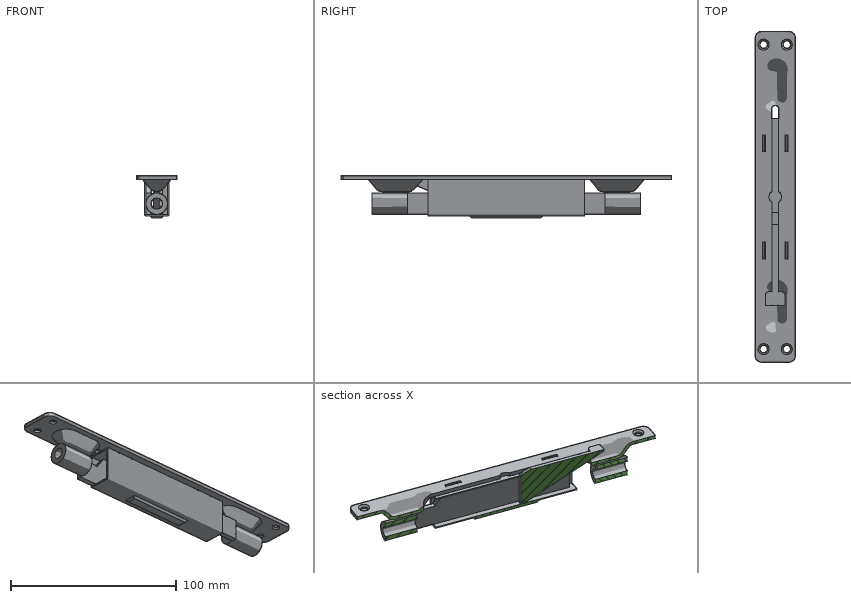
import cadquery as cq
import math


plate_width = 24.5
plate_length = 200.0
plate_thickness = 2.5
plate_corner_radius = 4.0
screw_x = 7.0
screw_y = 92.0
screw_diameter = 4.5
countersink_diameter = 6.5
countersink_angle = 90.0
access_hole_diameter = 7.5

dish_y = 66.8
dish_straight_length = 16.0
dish_rim_radius = 11.2
dish_flank_top = 5.0
dish_flank_bottom = 2.1
dish_flank_angle = math.radians(50.0)

lever_thickness = 4.2
pad_width = 11.8
pad_thickness = 1.5
pad_corner_radius = 2.5
pad_front_y = -65.5
pad_rear_y = -57.2
lever_top_end_y = -16.5
lever_rear_y = -9.5
lever_underside_angle = math.radians(22.6)

slot_rear_y = 55.2

sheet = 1.0
housing_width = 15.0
housing_length = 94.8
housing_bottom = -24.5
housing_corner_radius = 1.2
bead_length = 44.0
bead_width = 8.0
bead_height = 1.2
bead_taper = 45.0
tab_length = 10.2
tab_y = 32.5
tab_slot_width = 1.8
tab_slot_clearance = 0.1

bolt_diameter = 13.0
bolt_bore_diameter = 6.5
bolt_tip_y = 81.2
bolt_shoulder_y = 59.5
bar_ramp_y = 46.0
bar_ramp_angle = math.radians(54.0)
bar_end_y = 44.0

plate_bottom = -plate_thickness
web_bottom = plate_bottom - sheet
floor_top = housing_bottom + sheet
housing_inner_width = housing_width - 2 * sheet
wall_x = (housing_width - sheet) / 2
bolt_radius = bolt_diameter / 2
bolt_axis_z = floor_top + bolt_radius

sin_flank = math.sin(dish_flank_angle)
cos_flank = math.cos(dish_flank_angle)
sin_half_flank = math.sin(dish_flank_angle / 2)
cos_half_flank = math.cos(dish_flank_angle / 2)
rim_curve = (dish_rim_radius - dish_flank_top) / sin_flank
rim_drop = rim_curve * (1 - cos_flank)
flank_drop = (dish_flank_top - dish_flank_bottom) * math.tan(dish_flank_angle)
bottom_curve = dish_flank_bottom / sin_flank
bottom_centre_z = -rim_drop - flank_drop + bottom_curve * cos_flank


def block(x_min, x_max, y_min, y_max, z_min, z_max):
    """Axis-aligned box between the given limits."""
    size = (x_max - x_min, y_max - y_min, z_max - z_min)
    return cq.Workplane("XY").box(*size, centered=False).translate((x_min, y_min, z_min))


def dish_inside_profile():
    """Half section of the hollow of a dish: rim curve, straight flank and rounded bottom."""
    return (
        cq.Workplane("XZ")
        .lineTo(dish_rim_radius, 0)
        .threePointArc(
            (dish_rim_radius - rim_curve * sin_half_flank, -rim_curve * (1 - cos_half_flank)),
            (dish_flank_top, -rim_drop),
        )
        .lineTo(*dish_bottom_point(bottom_curve, sin_flank, cos_flank))
        .threePointArc(
            dish_bottom_point(bottom_curve, sin_half_flank, cos_half_flank),
            dish_bottom_point(bottom_curve, 0, 1),
        )
        .close()
    )


def dish_outside_profile():
    """Half section of the outside of a dish: its flank runs straight up to the plate."""
    outer_curve = bottom_curve + plate_thickness
    flank_x, flank_z = dish_bottom_point(outer_curve, sin_flank, cos_flank)
    plate_x = flank_x + (plate_bottom - flank_z) / math.tan(dish_flank_angle)
    return (
        cq.Workplane("XZ")
        .lineTo(plate_x, 0)
        .lineTo(plate_x, plate_bottom)
        .lineTo(flank_x, flank_z)
        .threePointArc(
            dish_bottom_point(outer_curve, sin_half_flank, cos_half_flank),
            dish_bottom_point(outer_curve, 0, 1),
        )
        .close()
    )


def dish_bottom_point(radius, sine, cosine):
    """Point on the rounded bottom of a dish section, at an angle from straight down."""
    return (radius * sine, bottom_centre_z - radius * cosine)


def dish_solid(draw_section):
    """Trough with two round ends, centred on the Y origin and built from the given half section."""
    half_length = dish_straight_length / 2
    half_trough = draw_section().extrude(half_length, both=True)
    round_end = draw_section().revolve(360, (0, 0, 0), (0, 1, 0))
    return (
        half_trough.union(half_trough.mirror("YZ"))
        .union(round_end.translate((0, half_length, 0)))
        .union(round_end.translate((0, -half_length, 0)))
    )


def make_plate():
    plate = block(
        -plate_width / 2, plate_width / 2, -plate_length / 2, plate_length / 2, plate_bottom, 0
    )
    plate = plate.edges("|Z").fillet(plate_corner_radius)

    dish_outside = dish_solid(dish_outside_profile)
    dish_inside = dish_solid(dish_inside_profile)
    for y in (-dish_y, dish_y):
        plate = plate.union(dish_outside.translate((0, y, 0)))
        plate = plate.cut(dish_inside.translate((0, y, 0)))

    half_slot = lever_thickness / 2
    slot_round_y = slot_rear_y - half_slot
    slot = (
        cq.Workplane("XY")
        .moveTo(-half_slot, pad_rear_y)
        .lineTo(half_slot, pad_rear_y)
        .lineTo(half_slot, slot_round_y)
        .threePointArc((0, slot_rear_y), (-half_slot, slot_round_y))
        .close()
        .extrude(housing_bottom)
    )
    access_hole = cq.Workplane("XY").circle(access_hole_diameter / 2).extrude(plate_bottom)
    plate = plate.cut(slot).cut(access_hole)

    tab_slot_outer_x = housing_width / 2 + tab_slot_clearance
    tab_slot_x = tab_slot_outer_x - tab_slot_width / 2
    tab_slots = (
        cq.Workplane("XY")
        .rarray(2 * tab_slot_x, 2 * tab_y, 2, 2)
        .rect(tab_slot_width, tab_length)
        .extrude(plate_bottom)
    )
    plate = plate.cut(tab_slots)

    return (
        plate.faces(">Z")
        .workplane(origin=(0, 0, 0))
        .rarray(2 * screw_x, 2 * screw_y, 2, 2)
        .cskHole(screw_diameter, countersink_diameter, countersink_angle)
    )


def make_housing():
    half_width = housing_width / 2
    half_inner = housing_inner_width / 2
    half_length = housing_length / 2
    tube = block(-half_width, half_width, -half_length, half_length, housing_bottom, plate_bottom)
    tube = tube.edges("|Y and <Z").fillet(housing_corner_radius)
    cavity = block(-half_inner, half_inner, -half_length, half_length, floor_top, web_bottom)
    lever_opening = block(
        -lever_thickness / 2, lever_thickness / 2, -half_length, lever_rear_y, web_bottom, plate_bottom
    )
    bead = (
        cq.Workplane("XY", origin=(0, 0, housing_bottom))
        .rect(bead_width, bead_length)
        .extrude(-bead_height, taper=bead_taper)
    )
    tabs = (
        cq.Workplane("XY", origin=(0, 0, plate_bottom))
        .rarray(2 * wall_x, 2 * tab_y, 2, 2)
        .rect(sheet, tab_length)
        .extrude(plate_thickness)
    )
    return tube.cut(cavity).cut(lever_opening).union(bead).union(tabs)


def make_lever():
    def underside_y(z):
        return pad_front_y + (-pad_thickness - z) / math.tan(lever_underside_angle)

    blade = (
        cq.Workplane("YZ")
        .polyline(
            [
                (pad_front_y, 0),
                (lever_top_end_y, 0),
                (lever_rear_y, plate_bottom),
                (lever_rear_y, floor_top),
                (underside_y(floor_top), floor_top),
                (pad_front_y, -pad_thickness),
            ]
        )
        .close()
        .extrude(lever_thickness / 2, both=True)
    )
    pad = block(-pad_width / 2, pad_width / 2, pad_front_y, pad_rear_y, -pad_thickness, 0)
    pad = pad.edges("|Z and >Y").fillet(pad_corner_radius)
    return blade.union(pad)


def make_bolt():
    """Bolt at the -Y end: a bored rod carried by a bar along the -X wall of the housing."""
    rod = (
        cq.Workplane("XZ", origin=(0, -bolt_shoulder_y, bolt_axis_z))
        .circle(bolt_radius)
        .circle(bolt_bore_diameter / 2)
        .extrude(bolt_tip_y - bolt_shoulder_y)
    )
    bar_low_top = bolt_axis_z + bolt_radius
    ramp_length = (web_bottom - bar_low_top) / math.tan(bar_ramp_angle)
    bar = (
        cq.Workplane("YZ", origin=(-bolt_radius, 0, 0))
        .polyline(
            [
                (-bolt_shoulder_y, floor_top),
                (bar_end_y, floor_top),
                (bar_end_y, web_bottom),
                (ramp_length - bar_ramp_y, web_bottom),
                (-bar_ramp_y, bar_low_top),
                (-bolt_shoulder_y, bar_low_top),
            ]
        )
        .close()
        .extrude(bolt_radius - bolt_bore_diameter / 2)
    )
    return rod.union(bar)


plate = make_plate().solids()
housing = make_housing().solids()
lever = make_lever().solids()
bolts = [make_bolt().rotate((0, 0, 0), (0, 0, 1), angle).solids() for angle in (0, 180)]

result = cq.Compound.makeCompound(
    [plate.val(), housing.val(), lever.val(), *(bolt.val() for bolt in bolts)]
)